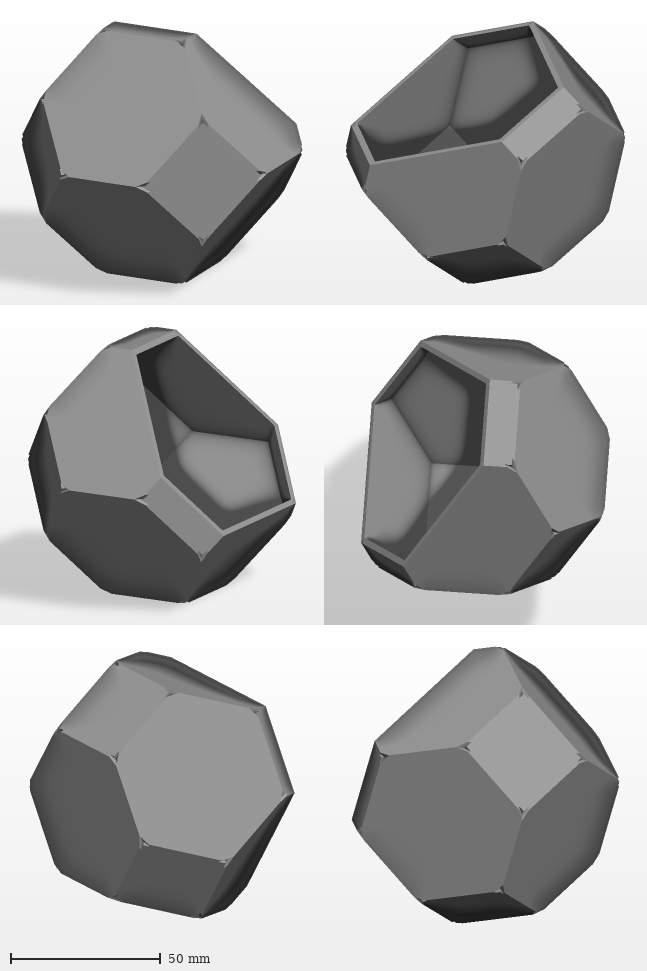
import cadquery as cq
import math

size = 85.2
wall = 1.7
opening_reach = 35.45

outer_half = size / 2
inner_half = outer_half - wall
inner_corner = inner_half / 2

axes = (cq.Vector(1, 0, 0), cq.Vector(0, 1, 0), cq.Vector(0, 0, 1))
signs = (1, -1)

inner_tip = 1.5 * inner_half
outer_tip = inner_tip + wall * math.sqrt(3)


def octahedron(tip):
    """Regular octahedron with its six tips on the axes."""
    faces = []
    for sx in signs:
        for sy in signs:
            for sz in signs:
                corners = [axes[0] * (sx * tip), axes[1] * (sy * tip), axes[2] * (sz * tip)]
                outline = cq.Wire.makePolygon(corners, close=True)
                faces.append(cq.Face.makeFromWires(outline))
    return cq.Workplane(cq.Solid.makeSolid(cq.Shell.makeShell(faces)))


def truncated_octahedron(tip, half):
    """Octahedron whose tips are cut to square faces at distance half from the centre."""
    return octahedron(tip).intersect(cq.Workplane().box(2 * half, 2 * half, 2 * half))


def corner_notch(square_normal, outward):
    """V groove at one corner, stopped by the pointed corner of the square face.

    square_normal points out of the square face, and outward points from the
    centre of that face to the notched corner.
    """
    depth = 2 * wall
    reach = 3 * wall
    side = outward.cross(square_normal)

    groove_plane = cq.Plane(origin=(0, 0, 0), xDir=side, normal=outward)
    bottom = -inner_half
    groove = (
        cq.Workplane(groove_plane)
        .workplane(offset=inner_corner - reach)
        .polyline([(0, bottom), (depth, bottom - depth), (-depth, bottom - depth)])
        .close()
        .extrude(2 * reach)
    )

    square_plane = cq.Plane(origin=(0, 0, 0), xDir=side, normal=square_normal)
    outside_square = (
        cq.Workplane(square_plane)
        .workplane(offset=inner_half - wall)
        .polyline([
            (0, inner_corner),
            (reach, inner_corner - reach),
            (reach, inner_corner + reach),
            (-reach, inner_corner + reach),
            (-reach, inner_corner - reach),
        ])
        .close()
        .extrude(depth + wall)
    )
    return groove.intersect(outside_square)


cavity = truncated_octahedron(inner_tip, inner_half)
body = truncated_octahedron(outer_tip, outer_half).cut(cavity)

opening_direction = cq.Vector(-1, 1, 1)
opening_origin = opening_direction * (opening_reach / 3)
opening_plane = cq.Plane(origin=opening_origin, normal=opening_direction)
body = body.cut(cq.Workplane(opening_plane).rect(2 * size, 2 * size).extrude(size))

for square_axis in axes:
    for outward_axis in axes:
        if square_axis == outward_axis:
            continue
        for square_sign in signs:
            for outward_sign in signs:
                square_normal = square_axis * square_sign
                outward = outward_axis * outward_sign
                corner = square_normal * outer_half + outward * (outer_half / 2)
                if corner.dot(opening_direction) < opening_reach:
                    body = body.cut(corner_notch(square_normal, outward))

result = body